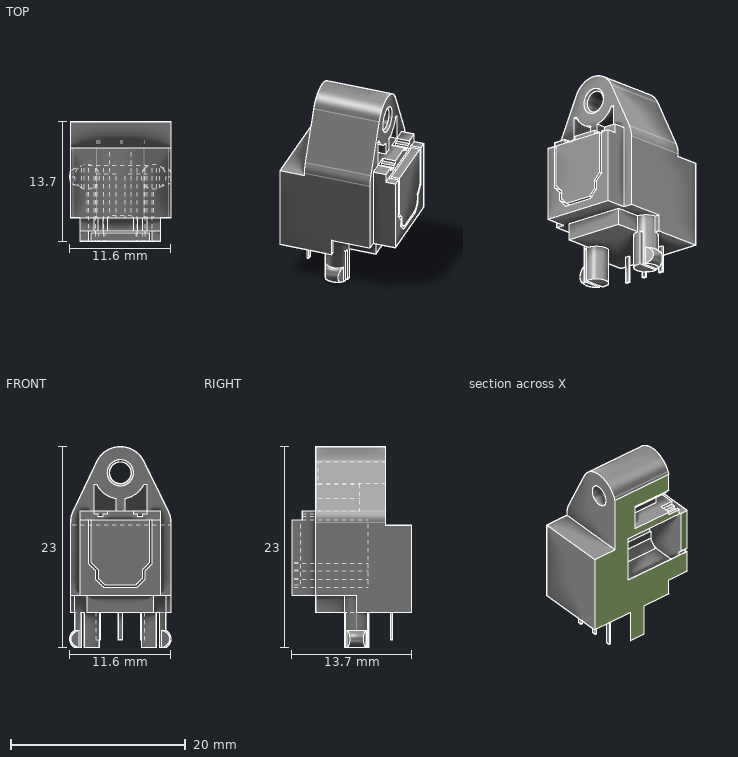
import cadquery as cq
import math


body_width = 11.5
body_middle_x = 0.05
lug_depth = 8.0
rear_depth = 11.0
rear_height = 10.0

hole_height = 16.0
lug_radius = 3.0
shoulder_height = 11.0
shoulder_fillet = 3.0
hole_radius = 1.23
hole_chamfer = 0.27

pocket_half_width = 3.03
pocket_top = 14.67
pocket_depth = 5.0
rib_width = 1.04

mouth_half_width = 4.62
mouth_bottom = 1.95
ledge_top = 11.63
ledge_depth = 1.53
plate_top = 10.6
front_depth = 2.7

keyway_middle = 2.26
keyway_steps = ((1.54, 0.36), (0.56, 0.64))

cavity_back = 6.0
cavity_upper_half = 3.64
cavity_lower_half = 2.82
cavity_step_height = 5.6
cavity_corner_height = 3.8
cavity_corner = 0.92

shutter_gap = 0.3
shutter_back_gap = 0.19

pin_pitch = 2.54
pin_count = 3
pin_width = 0.5
pin_thickness = 0.22
pin_y = 8.68
pin_length = 3.12
pin_root = 0.5

post_x = 1.5 * pin_pitch
post_y = 4.7
post_radius = 1.41
post_length = 3.99
post_slot_inner = 0.32
post_slot_outer = 0.64
barb_reach = 1.995
barb_height = 1.97
barb_root_x = 0.89
barb_root_half = 1.1
barb_tip_half = 0.72


def box(x_range, y_range, z_range):
    """Box between two limits on each axis."""
    size = [high - low for low, high in (x_range, y_range, z_range)]
    corner = (x_range[0], y_range[0], z_range[0])
    return cq.Workplane("XY").box(*size, centered=False).translate(corner)


def front_sketch(y):
    """Plane facing -Y at the given depth; local axes are X and Z."""
    return cq.Workplane("XZ", origin=(0, y, 0))


def make_lug_block():
    """Rectangular body that tapers up, tangent to the round end of the lug."""
    left = body_middle_x - body_width / 2
    right = body_middle_x + body_width / 2

    def tangent_point(shoulder_x, turn):
        drop = shoulder_height - hole_height
        distance = math.hypot(shoulder_x, drop)
        angle = math.atan2(drop, shoulder_x) + turn * math.acos(lug_radius / distance)
        return lug_radius * math.cos(angle), hole_height + lug_radius * math.sin(angle)

    block = (
        front_sketch(lug_depth)
        .moveTo(left, 0)
        .lineTo(right, 0)
        .lineTo(right, shoulder_height)
        .lineTo(*tangent_point(right, 1))
        .threePointArc((0, hole_height + lug_radius), tangent_point(left, -1))
        .lineTo(left, shoulder_height)
        .close()
        .extrude(lug_depth)
    )
    for x in (left, right):
        shoulder = cq.selectors.NearestToPointSelector((x, lug_depth / 2, shoulder_height))
        block = block.edges(shoulder).fillet(shoulder_fillet)
    return block


def make_screw_hole():
    """Through hole, countersunk at the front."""
    hole = front_sketch(lug_depth).center(0, hole_height).circle(hole_radius).extrude(lug_depth)
    countersink = cq.Solid.makeCone(
        hole_radius + hole_chamfer,
        hole_radius,
        hole_chamfer,
        pnt=cq.Vector(0, 0, hole_height),
        dir=cq.Vector(0, 1, 0),
    )
    return hole.union(cq.Workplane(countersink))


def make_pockets():
    """Blind pockets under the round wall that surrounds the screw hole."""
    x_range = (-pocket_half_width, pocket_half_width)
    opening = box(x_range, (0, pocket_depth), (ledge_top, pocket_top))
    rib = box((-rib_width / 2, rib_width / 2), (0, pocket_depth), (ledge_top, pocket_top))
    wall = front_sketch(pocket_depth).center(0, hole_height).circle(lug_radius).extrude(pocket_depth)
    return opening.cut(rib).cut(wall)


def make_keyways():
    """Two stepped grooves running front to back across the ledge."""
    keyways = cq.Workplane("XY")
    for side in (-1, 1):
        middle = side * keyway_middle
        for width, depth in keyway_steps:
            x_range = (middle - width / 2, middle + width / 2)
            groove = box(x_range, (-ledge_depth, 0), (ledge_top - depth, ledge_top))
            keyways = keyways.union(groove)
    return keyways


def make_cavity_shape(back_y, inset):
    """Stepped cavity shape from back_y to the front, with its sides and floor inset evenly."""
    corner_shift = inset * math.tan(math.pi / 8)
    upper = cavity_upper_half - inset
    lower = cavity_lower_half - inset
    step_top = cavity_step_height + corner_shift
    corner_top = cavity_corner_height + corner_shift
    floor = cavity_corner_height - cavity_corner + inset
    half_outline = [
        (upper, plate_top),
        (upper, step_top),
        (lower, step_top - (upper - lower)),
        (lower, corner_top),
        (lower - (corner_top - floor), floor),
    ]
    mirrored = [(-x, z) for x, z in reversed(half_outline)]
    return front_sketch(back_y).polyline(half_outline + mirrored).close().extrude(back_y + front_depth)


def make_mouth():
    """Ledge and front plate, with the keyways cut out."""
    x_range = (-mouth_half_width, mouth_half_width)
    ledge = box(x_range, (-ledge_depth, 0), (mouth_bottom, ledge_top))
    plate = box(x_range, (-front_depth, -ledge_depth), (mouth_bottom, plate_top))
    return ledge.union(plate).cut(make_keyways())


def make_barb():
    """Bulge on the outer side of a post, tapered in plan; post axis at the origin, +X outward."""
    top = barb_height - post_length
    middle = barb_height / 2 - post_length
    ring = (
        cq.Workplane("XZ")
        .moveTo(0, -post_length)
        .lineTo(post_radius, -post_length)
        .threePointArc((barb_reach, middle), (post_radius, top))
        .lineTo(0, top)
        .close()
        .revolve(360, (0, 0, 0), (0, 1, 0))
    )
    plan = (
        cq.Workplane("XY", origin=(0, 0, -post_length))
        .polyline(
            [
                (barb_root_x, -barb_root_half),
                (barb_reach, -barb_tip_half),
                (barb_reach, barb_tip_half),
                (barb_root_x, barb_root_half),
            ]
        )
        .close()
        .extrude(barb_height)
    )
    return ring.intersect(plan)


def make_post():
    """Slotted snap post for the +X side, rooted in the corner of its side notch."""
    post = cq.Workplane("XY").circle(post_radius).extrude(mouth_bottom + post_length)
    post = post.translate((0, 0, -post_length))
    slot = box((post_slot_inner, post_slot_outer), (-post_radius, post_radius), (-post_length, 0))
    return post.cut(slot).union(make_barb()).translate((post_x, post_y, 0))


def make_pin(x):
    """Flat solder pin, rooted in the housing."""
    half_width = pin_width / 2
    half_thickness = pin_thickness / 2
    x_range = (x - half_width, x + half_width)
    return box(x_range, (pin_y - half_thickness, pin_y + half_thickness), (-pin_length, pin_root))


def make_housing():
    """Housing with its posts and pins, as one solid."""
    left = body_middle_x - body_width / 2
    rear = box((left, left + body_width), (lug_depth, rear_depth), (0, rear_height))
    housing = make_lug_block().union(rear).cut(make_screw_hole()).cut(make_pockets())

    side_notch = box((post_x, body_width), (0, post_y), (0, mouth_bottom))
    housing = housing.cut(side_notch).cut(side_notch.mirror("YZ"))
    housing = housing.union(make_mouth()).cut(make_cavity_shape(cavity_back, 0))

    post = make_post()
    housing = housing.union(post).union(post.mirror("YZ"))
    for index in range(pin_count):
        housing = housing.union(make_pin((index - (pin_count - 1) / 2) * pin_pitch))
    return housing


housing = make_housing()
shutter = make_cavity_shape(-ledge_depth - shutter_back_gap, shutter_gap)

result = cq.Compound.makeCompound([*housing.solids().vals(), shutter.val()])